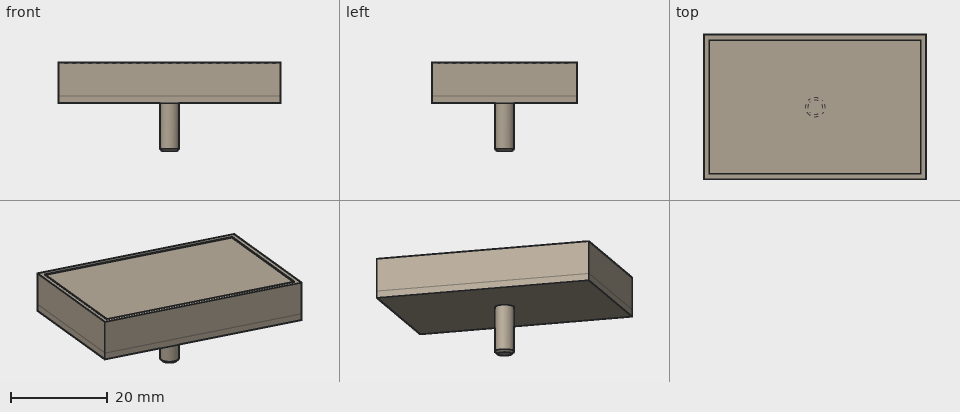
import cadquery as cq

length = 46.0
width = 30.0
block_height = 8.4
plate_thickness = 1.5
tray_height = block_height - plate_thickness

end_rim_width = 1.1
side_rim_width = 1.2
recess_depth = 0.2

stud_diameter = 4.0
stud_length = 10.0
stud_chamfer = 0.5


def make_plate():
    """Base plate with its underside at Z = 0."""
    return cq.Workplane("XY").box(length, width, plate_thickness, centered=(True, True, False))


def make_tray():
    """Block on top of the plate, with the shallow recess in its top face."""
    block = (
        cq.Workplane("XY")
        .workplane(offset=plate_thickness)
        .box(length, width, tray_height, centered=(True, True, False))
    )
    recess = (
        cq.Workplane("XY")
        .workplane(offset=block_height - recess_depth)
        .rect(length - 2 * end_rim_width, width - 2 * side_rim_width)
        .extrude(recess_depth)
    )
    return block.cut(recess)


def make_stud():
    """Round stud pointing down, chamfered at its free end."""
    stud = cq.Workplane("XY").circle(stud_diameter / 2).extrude(-stud_length)
    return stud.faces("<Z").chamfer(stud_chamfer)


result = make_plate().union(make_tray(), clean=False).union(make_stud(), clean=False)